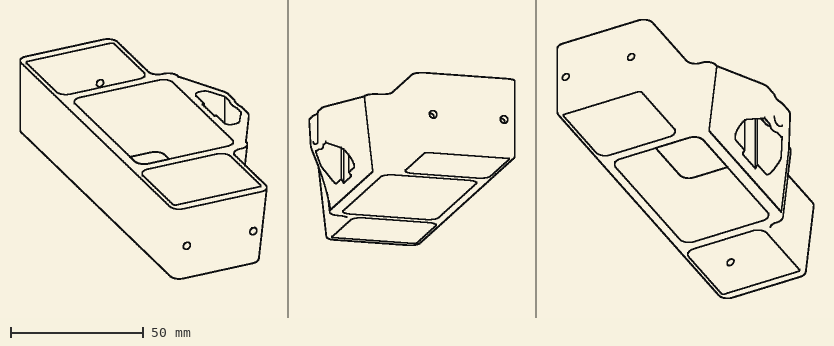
import cadquery as cq
import math

length = 138.0
height = 30.0
total_depth = 59.5
wing_depth = 40.2
body_depth = 48.7
body_width = 67.9
back_lean = 6.5
corner_radius = 4.0
bottom_radius = 0.8

end_wall = 4.0
wing_wall = 1.8
body_wall = 4.0
inner_corner_radius = 1.0

handle_root_width = 58.8
handle_tip_width = 19.6
handle_overlap = 2.8
handle_edge_z = 18.8
handle_edge_radius = 2.1
tip_corner_radius = 6.0
tip_dip_width = 6.3
tip_dip_depth = 0.5

scoop_slope = 41.0
scoop_bend_y = 53.5

tip_wall = 2.1
opening_width = 29.4
opening_back_width = 14.1
opening_front = 47.9
opening_shoulder = 53.0
opening_radius = 2.5
relief_width = 10.5
relief_depth = 0.8

hole_diameter = 2.9
hole_z = 14.0
hole_positions_y = (5.2, 33.0)

lean_shift = height * math.tan(math.radians(back_lean))


def leaning_block(x_min, x_max, front, back):
    """Block with an upright front face and a leaning back face; `back` is its Y at the top."""
    return (
        cq.Workplane("YZ", origin=(x_min, 0, 0))
        .polyline([(front, 0), (back - lean_shift, 0), (back, height), (front, height)])
        .close()
        .extrude(x_max - x_min)
    )


def round_corners(block, sides, radius):
    """Round the front and back corners at the selected X ends of a leaning block."""
    return block.faces(sides).edges("not(|Y)").fillet(radius)


def upright_block(width, front, back):
    """Full-height block centred on X = 0."""
    block = cq.Workplane("XY").box(width, back - front, height, centered=(True, False, False))
    return block.translate((0, front, 0))


def make_frame():
    """Wide wing block and deeper body block, blended where they meet at the back."""
    wings = leaning_block(-length / 2, length / 2, 0, wing_depth)
    wings = round_corners(wings, "<X or >X", corner_radius)
    body = leaning_block(-body_width / 2, body_width / 2, 0, body_depth)
    body = body.faces(">Y").edges("not(|X)").fillet(corner_radius)
    frame = wings.union(body)
    for side in (-1, 1):
        inside_corner = (side * body_width / 2, wing_depth - lean_shift / 2, height / 2)
        frame = frame.edges(cq.selectors.NearestToPointSelector(inside_corner)).fillet(corner_radius)
    return frame.faces("<Z").edges().fillet(bottom_radius)


def make_scoop():
    """Cutter for the curved underside of the handle."""
    bend_drop = (total_depth - scoop_bend_y) * math.tan(math.radians(scoop_slope))
    return (
        cq.Workplane("YZ", origin=(-length / 2, 0, 0))
        .moveTo(total_depth, 0)
        .lineTo(total_depth, handle_edge_z)
        .lineTo(scoop_bend_y, handle_edge_z - bend_drop)
        .tangentArcPoint((body_depth - lean_shift, 0), relative=False)
        .close()
        .extrude(length)
    )


def make_tip_dip(back):
    """Shallow round segment bulging forward from a flat upright face at Y = `back`."""
    half_dip = tip_dip_width / 2
    return (
        cq.Workplane("XY")
        .moveTo(-half_dip, back)
        .threePointArc((0, back - tip_dip_depth), (half_dip, back))
        .close()
        .extrude(height)
    )


def make_handle():
    """Handle with leaning slanted sides, an upright tip and a rounded lower edge."""
    half_root = handle_root_width / 2
    half_tip = handle_tip_width / 2
    side_slope = (total_depth - body_depth) / (half_root - half_tip)
    apex_y = total_depth + half_tip * side_slope
    root_y = body_depth - handle_overlap
    outline = (
        cq.Workplane("XY", origin=(0, -lean_shift, 0))
        .moveTo(-half_root, root_y)
        .lineTo(-half_root, body_depth)
        .lineTo(0, apex_y)
        .lineTo(half_root, body_depth)
        .lineTo(half_root, root_y)
        .close()
        .val()
    )
    wedge = cq.Solid.extrudeLinear(outline, [], cq.Vector(0, lean_shift, height))
    handle = upright_block(length, 0, total_depth).intersect(cq.Workplane(wedge))
    handle = handle.faces(">Y").edges("not(|X)").fillet(tip_corner_radius)
    handle = handle.cut(make_scoop())
    handle = handle.faces(">Y").edges("<Z").fillet(handle_edge_radius)
    foot = cq.Workplane("XY").box(length, 2 * total_depth, 2 * bottom_radius)
    handle = handle.cut(foot)
    return handle.cut(make_tip_dip(total_depth))


def make_finger_opening():
    """Cutter for the opening, with a relief in its front side and a dip that keeps the tip wall even."""
    half_width = opening_width / 2
    half_back = opening_back_width / 2
    opening_back = total_depth - tip_wall
    opening = (
        cq.Workplane("XY")
        .moveTo(-half_width, opening_front)
        .lineTo(-half_width, opening_shoulder)
        .lineTo(-half_back, opening_back)
        .lineTo(half_back, opening_back)
        .lineTo(half_width, opening_shoulder)
        .lineTo(half_width, opening_front)
        .close()
        .extrude(height)
    )
    opening = opening.faces("<Y").edges("|Z").fillet(opening_radius)
    for side in ("<X", ">X"):
        opening = opening.faces(side).edges("|Z and >Y").fillet(opening_radius)
    relief = upright_block(relief_width, opening_front - relief_depth, opening_shoulder)
    return opening.union(relief).cut(make_tip_dip(opening_back))


def make_pockets():
    """Cutter for the centre pocket and the two wing pockets."""
    wing_inner_x = body_width / 2
    wing_outer_x = length / 2 - end_wall
    center_half = body_width / 2 - body_wall
    center = leaning_block(-center_half, center_half, body_wall, body_depth - body_wall)
    center = round_corners(center, "<X or >X", corner_radius)
    wing = leaning_block(wing_inner_x, wing_outer_x, wing_wall, wing_depth - wing_wall)
    wing = round_corners(wing, "<X", corner_radius)
    wing = round_corners(wing, ">X", inner_corner_radius)
    return center.union(wing).union(wing.mirror("YZ"))


def make_screw_holes():
    """Cutter for the holes through one end wall and, mirrored, the other."""
    holes = (
        cq.Workplane("YZ", origin=(length / 2 - end_wall, 0, 0))
        .pushPoints([(y, hole_z) for y in hole_positions_y])
        .circle(hole_diameter / 2)
        .extrude(end_wall)
    )
    return holes.union(holes.mirror("YZ"))


result = (
    make_frame()
    .union(make_handle())
    .cut(make_pockets())
    .cut(make_finger_opening())
    .cut(make_screw_holes())
)